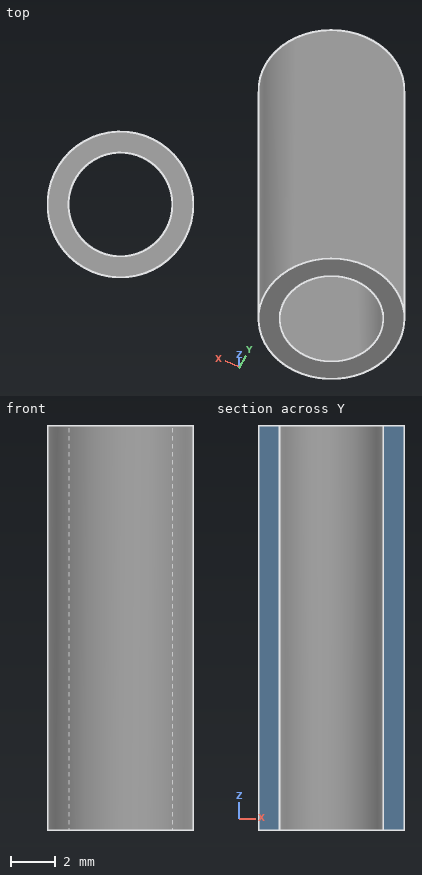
import cadquery as cq

length = 18.0
outer_diameter = 6.5
bore_diameter = 4.6

result = (
    cq.Workplane("XY")
    .circle(outer_diameter / 2)
    .circle(bore_diameter / 2)
    .extrude(length)
)